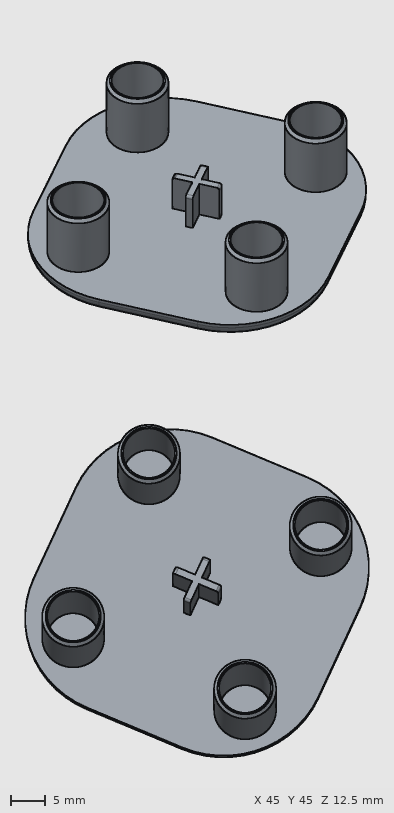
import cadquery as cq

plate_side = 45.0
plate_thickness = 2.5
corner_radius = 15.0
bottom_fillet = 2.0

tube_height = 10.0
tube_diameter = 9.0
bore_diameter = 7.5
tube_spacing = 27.2
rim_chamfer = 0.5

cross_span = 7.25
cross_thickness = 1.1
cross_height = 6.0
cross_end_fillet = 0.4


def make_plate():
    """Rounded square plate with a rounded lower edge."""
    plate = cq.Workplane("XY").rect(plate_side, plate_side).extrude(plate_thickness)
    return plate.edges("|Z").fillet(corner_radius).faces("<Z").edges().fillet(bottom_fillet)


def make_tubes():
    """Tubes with a chamfered outer rim, bored down to the plate."""
    base = cq.Workplane("XY", origin=(0, 0, plate_thickness))
    centres = base.rect(tube_spacing, tube_spacing, forConstruction=True).vertices()
    posts = centres.circle(tube_diameter / 2).extrude(tube_height)
    posts = posts.faces(">Z").edges().chamfer(rim_chamfer)
    bores = centres.circle(bore_diameter / 2).extrude(tube_height)
    return posts.cut(bores)


def make_cross():
    """Cross with arm ends that follow a cylinder with a rounded top edge."""
    base = cq.Workplane("XY", origin=(0, 0, plate_thickness))
    bar_x = base.rect(cross_span, cross_thickness).extrude(cross_height)
    bar_y = base.rect(cross_thickness, cross_span).extrude(cross_height)
    envelope = base.circle(cross_span / 2).extrude(cross_height)
    envelope = envelope.faces(">Z").edges().fillet(cross_end_fillet)
    return bar_x.union(bar_y).intersect(envelope)


result = make_plate().union(make_tubes()).union(make_cross())